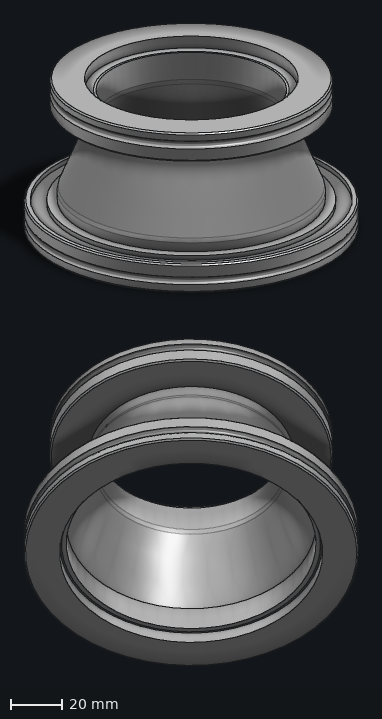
import cadquery as cq

total_height = 63.0
flange_thickness = 12.0
upper_underside = total_height - flange_thickness
edge_chamfer = 0.6
recess_depth = 5.0

upper_flange_dia = 110.0
upper_recess_dia = 83.0
upper_groove_center = total_height - 5.0
upper_groove_width = 3.2
upper_groove_depth = 1.5

lower_flange_dia = 130.0
lower_recess_dia = 102.2
lower_groove_center = 5.1
lower_groove_width = 3.1
lower_groove_depth = 1.3
face_recess_outer_dia = 125.0
face_recess_inner_dia = 112.3
face_recess_depth = 2.0

neck_outer_dia = 80.0
neck_inner_dia = 74.0
neck_spigot_dia = 76.0
base_outer_dia = 104.3
base_spigot_dia = 100.8
base_inner_dia = 97.0
cone_outer_top = 46.0
cone_outer_bottom = 16.6
cone_inner_top = 45.6
cone_inner_bottom = 15.5
base_bend_radius = 5.0
neck_bend_outer_radius = 3.0
neck_bend_inner_radius = 6.0
tube_top = total_height - recess_depth
tube_bottom = recess_depth


def disc(diameter, bottom, top):
    """Solid cylinder on the Z axis between two heights."""
    return cq.Workplane("XY").workplane(offset=bottom).circle(diameter / 2).extrude(top - bottom)


def ring(outer_dia, inner_dia, bottom, top):
    """Plain ring on the Z axis between two heights."""
    return disc(outer_dia, bottom, top).cut(disc(inner_dia, bottom, top))


def rim_groove(rim_dia, center, width, depth):
    """Ring with a circular-arc section that cuts a groove into a flange rim."""
    rim = rim_dia / 2
    outside = rim + depth
    return (
        cq.Workplane("XZ")
        .moveTo(outside, center - width / 2)
        .lineTo(rim, center - width / 2)
        .threePointArc((rim - depth, center), (rim, center + width / 2))
        .lineTo(outside, center + width / 2)
        .close()
        .revolve(360, (0, 0, 0), (0, 1, 0))
    )


def flange_blank(diameter, bottom):
    """Flange disc with both rim edges chamfered."""
    return disc(diameter, bottom, bottom + flange_thickness).edges().chamfer(edge_chamfer)


def make_upper_flange():
    flange = flange_blank(upper_flange_dia, upper_underside)
    flange = flange.cut(disc(neck_spigot_dia, upper_underside, total_height))
    flange = flange.cut(disc(upper_recess_dia, tube_top, total_height))
    return flange.cut(
        rim_groove(upper_flange_dia, upper_groove_center, upper_groove_width, upper_groove_depth)
    )


def make_lower_flange():
    flange = flange_blank(lower_flange_dia, 0)
    flange = flange.cut(disc(base_spigot_dia, 0, flange_thickness))
    flange = flange.cut(disc(lower_recess_dia, 0, recess_depth))
    recess_floor = flange_thickness - face_recess_depth
    face_recess = ring(face_recess_outer_dia, face_recess_inner_dia, recess_floor, flange_thickness)
    flange = flange.cut(face_recess)
    return flange.cut(
        rim_groove(lower_flange_dia, lower_groove_center, lower_groove_width, lower_groove_depth)
    )


def tapered_core(neck_dia, base_dia, cone_top, cone_bottom):
    """Solid of a straight base, a cone and a straight neck, with sharp bends."""
    return (
        cq.Workplane("XZ")
        .moveTo(0, tube_bottom)
        .lineTo(base_dia / 2, tube_bottom)
        .lineTo(base_dia / 2, cone_bottom)
        .lineTo(neck_dia / 2, cone_top)
        .lineTo(neck_dia / 2, tube_top)
        .lineTo(0, tube_top)
        .close()
        .revolve(360, (0, 0, 0), (0, 1, 0))
    )


def round_bend(body, height, radius):
    """Round the circular edge at a bend of the tapered wall."""
    bend = cq.selectors.NearestToPointSelector((0, 0, height))
    return body.edges("%CIRCLE").edges(bend).fillet(radius)


def make_reducer():
    outer = tapered_core(neck_outer_dia, base_outer_dia, cone_outer_top, cone_outer_bottom)
    outer = round_bend(outer, cone_outer_top, neck_bend_outer_radius)
    outer = round_bend(outer, cone_outer_bottom, base_bend_radius)

    bore = tapered_core(neck_inner_dia, base_inner_dia, cone_inner_top, cone_inner_bottom)
    bore = round_bend(bore, cone_inner_top, neck_bend_inner_radius)

    neck_step = ring(neck_outer_dia, neck_spigot_dia, upper_underside, tube_top)
    base_step = ring(base_outer_dia, base_spigot_dia, tube_bottom, flange_thickness)
    return outer.cut(bore).cut(neck_step).cut(base_step)


upper_flange = make_upper_flange()
lower_flange = make_lower_flange()
reducer = make_reducer()

result = cq.Compound.makeCompound([upper_flange.val(), lower_flange.val(), reducer.val()])